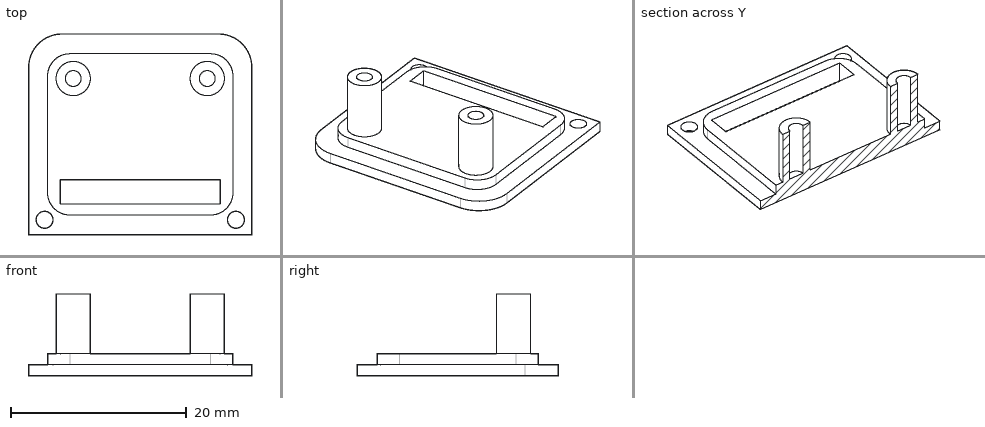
import cadquery as cq

plate_width = 25.4
plate_depth = 22.86
plate_thickness = 1.27
plate_corner_radius = 3.81

panel_side_margin = 2.16
panel_end_margin = 2.26
panel_width = plate_width - 2 * panel_side_margin
panel_depth = plate_depth - 2 * panel_end_margin
panel_thickness = 1.27
panel_corner_radius = 2.54
panel_top = plate_thickness + panel_thickness

post_diameter = 3.9
post_bore_diameter = 1.8
post_spacing = 15.24
post_height = 6.78
post_front_offset = 17.78
post_y = post_front_offset - plate_depth / 2

slot_length = 18.14
slot_width = 2.74
slot_front_offset = 3.53
slot_y = slot_front_offset + slot_width / 2 - plate_depth / 2

mount_hole_diameter = 1.9
mount_hole_spacing = 21.76
mount_hole_front_offset = 1.72
mount_hole_y = mount_hole_front_offset - plate_depth / 2


def mirrored_pair(spacing, y):
    """Two points placed symmetrically about the YZ plane."""
    return [(-spacing / 2, y), (spacing / 2, y)]


def make_plate():
    plate = (
        cq.Workplane("XY")
        .box(plate_width, plate_depth, plate_thickness, centered=(True, True, False))
    )
    return plate.edges("|Z and >Y").fillet(plate_corner_radius)


def make_panel():
    panel = (
        cq.Workplane("XY", origin=(0, 0, plate_thickness))
        .box(panel_width, panel_depth, panel_thickness, centered=(True, True, False))
    )
    return panel.edges("|Z").fillet(panel_corner_radius)


def make_posts():
    return (
        cq.Workplane("XY", origin=(0, 0, panel_top))
        .pushPoints(mirrored_pair(post_spacing, post_y))
        .circle(post_diameter / 2)
        .circle(post_bore_diameter / 2)
        .extrude(post_height)
    )


def make_slot():
    return (
        cq.Workplane("XY")
        .center(0, slot_y)
        .rect(slot_length, slot_width)
        .extrude(panel_top)
    )


def make_mount_holes():
    return (
        cq.Workplane("XY")
        .pushPoints(mirrored_pair(mount_hole_spacing, mount_hole_y))
        .circle(mount_hole_diameter / 2)
        .extrude(plate_thickness)
    )


result = (
    make_plate()
    .union(make_panel())
    .union(make_posts())
    .cut(make_slot())
    .cut(make_mount_holes())
)